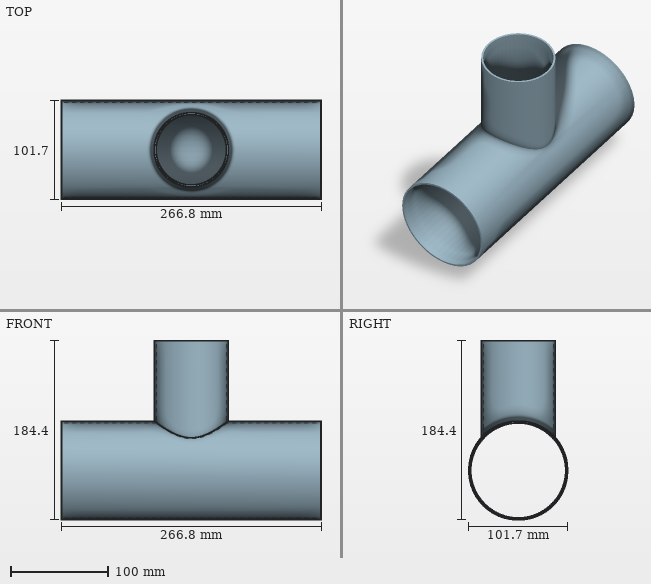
import cadquery as cq

run_length = 266.8
run_outer_diameter = 101.7
run_bore_diameter = 97.6

branch_outer_diameter = 76.3
branch_bore_diameter = 72.3
branch_height = 133.5


def run_cylinder(diameter):
    """Cylinder along X, centred on the origin."""
    return cq.Workplane("YZ").circle(diameter / 2).extrude(run_length / 2, both=True)


def branch_cylinder(diameter):
    """Cylinder along Z, from the run axis up to the open end of the branch."""
    return cq.Workplane("XY").circle(diameter / 2).extrude(branch_height)


body = run_cylinder(run_outer_diameter).union(branch_cylinder(branch_outer_diameter))
result = body.cut(run_cylinder(run_bore_diameter)).cut(branch_cylinder(branch_bore_diameter))